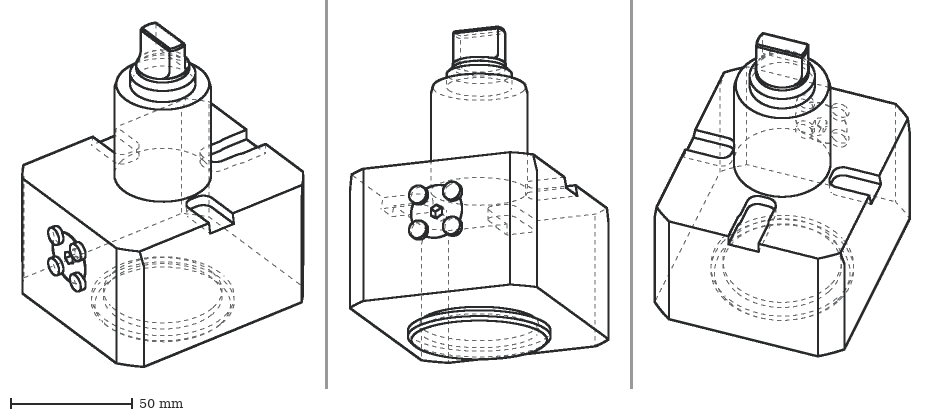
import cadquery as cq
import math

BODY_WIDTH = 83.0
BODY_LENGTH = 96.0
BODY_HEIGHT = 57.0
BODY_CORNER_DIAMETER = 116.0
SIDE_BEVEL_HEIGHT = 7.0
SIDE_BEVEL_ANGLE = 10.0

SHAFT_DIAMETER = 40.0
SHAFT_TOP = 45.0
SHAFT_LEAD_IN_HEIGHT = 3.0
SHAFT_LEAD_IN_ANGLE = 15.0
COLLAR_DIAMETER = 27.0
COLLAR_TOP = 53.0
NECK_DIAMETER = 22.0
NECK_TOP = 54.7

TANG_TOP = 69.0
TANG_DIAMETER = 21.5
TANG_THICKNESS = 8.0
TANG_ROOT_RADIUS = 3.0
TANG_CHAMFER_HEIGHT = 1.0
TANG_CHAMFER_INSET = 0.5

SPIGOT_DIAMETER = 49.0
SPIGOT_HEIGHT = 3.0
FLANGE_DIAMETER = 59.0
FLANGE_HEIGHT = 4.0
FLANGE_CHAMFER = 1.5

KEYWAY_WIDTH = 12.2
KEYWAY_DEPTH = 4.7
KEYWAY_INNER_END = 21.5
KEYWAY_CORNER_RADIUS = 4.5
REAR_MOUTH_WIDTH = 13.2
REAR_TAPER_START = 34.0
REAR_TAPER_END = 36.0

PAD_CENTER_Z = -22.0
PAD_DIAMETER = 22.6
PAD_HEIGHT = 0.3
PIN_DIAMETER = 7.6
PIN_SPACING = 15.0
PIN_HEIGHT = 2.5
SOCKET_ACROSS_FLATS = 5.0
SOCKET_DEPTH = 5.0


def cylinder(diameter, bottom, top):
    return cq.Workplane("XY").workplane(offset=bottom).circle(diameter / 2).extrude(top - bottom)


def make_body():
    """Block with corners rounded about the shaft axis and bevelled upper sides."""
    half_width = BODY_WIDTH / 2
    bevel_inset = SIDE_BEVEL_HEIGHT * math.tan(math.radians(SIDE_BEVEL_ANGLE))
    bevelled_block = (
        cq.Workplane("XZ")
        .moveTo(-half_width, -BODY_HEIGHT)
        .lineTo(half_width, -BODY_HEIGHT)
        .lineTo(half_width, -SIDE_BEVEL_HEIGHT)
        .lineTo(half_width - bevel_inset, 0)
        .lineTo(-half_width + bevel_inset, 0)
        .lineTo(-half_width, -SIDE_BEVEL_HEIGHT)
        .close()
        .extrude(BODY_LENGTH / 2, both=True)
    )
    return bevelled_block.intersect(cylinder(BODY_CORNER_DIAMETER, -BODY_HEIGHT, 0))


def make_shaft():
    """Stepped shaft, revolved about Z, up to the top of the tang."""
    shaft_radius = SHAFT_DIAMETER / 2
    collar_radius = COLLAR_DIAMETER / 2
    neck_radius = NECK_DIAMETER / 2
    tang_radius = TANG_DIAMETER / 2
    lead_in_inset = SHAFT_LEAD_IN_HEIGHT * math.tan(math.radians(SHAFT_LEAD_IN_ANGLE))
    collar_chamfer = collar_radius - neck_radius
    return (
        cq.Workplane("XZ")
        .moveTo(0, 0)
        .lineTo(shaft_radius, 0)
        .lineTo(shaft_radius, SHAFT_TOP - SHAFT_LEAD_IN_HEIGHT)
        .lineTo(shaft_radius - lead_in_inset, SHAFT_TOP)
        .lineTo(collar_radius, SHAFT_TOP)
        .lineTo(collar_radius, COLLAR_TOP - collar_chamfer)
        .lineTo(neck_radius, COLLAR_TOP)
        .lineTo(neck_radius, NECK_TOP)
        .lineTo(tang_radius, NECK_TOP)
        .lineTo(tang_radius, TANG_TOP - TANG_CHAMFER_HEIGHT)
        .lineTo(tang_radius - TANG_CHAMFER_INSET, TANG_TOP)
        .lineTo(0, TANG_TOP)
        .close()
        .revolve(360, (0, 0, 0), (0, 1, 0))
    )


def make_tang_relief():
    """Material removed on the +Y side of the tang, with a rounded root."""
    half_thickness = TANG_THICKNESS / 2
    root_inset = TANG_ROOT_RADIUS * (1 - math.sqrt(0.5))
    return (
        cq.Workplane("YZ")
        .moveTo(NECK_DIAMETER, NECK_TOP)
        .lineTo(half_thickness + TANG_ROOT_RADIUS, NECK_TOP)
        .threePointArc(
            (half_thickness + root_inset, NECK_TOP + root_inset),
            (half_thickness, NECK_TOP + TANG_ROOT_RADIUS),
        )
        .lineTo(half_thickness, TANG_TOP - TANG_CHAMFER_HEIGHT)
        .lineTo(half_thickness - TANG_CHAMFER_INSET, TANG_TOP)
        .lineTo(NECK_DIAMETER, TANG_TOP)
        .close()
        .extrude(NECK_DIAMETER, both=True)
    )


def make_flange():
    """Spigot and chamfered disc below the housing."""
    spigot_bottom = -BODY_HEIGHT - SPIGOT_HEIGHT
    spigot = cylinder(SPIGOT_DIAMETER, spigot_bottom, -BODY_HEIGHT)
    disc = cylinder(FLANGE_DIAMETER, spigot_bottom - FLANGE_HEIGHT, spigot_bottom)
    return spigot.union(disc.faces("<Z").edges().chamfer(FLANGE_CHAMFER))


def make_keyway(outer_end):
    """Keyway cutter along +X, open at outer_end and round-cornered at its inner end."""
    return (
        cq.Workplane("XY")
        .workplane(offset=-KEYWAY_DEPTH)
        .center((KEYWAY_INNER_END + outer_end) / 2, 0)
        .rect(outer_end - KEYWAY_INNER_END, KEYWAY_WIDTH)
        .extrude(KEYWAY_DEPTH)
        .edges("|Z and <X")
        .fillet(KEYWAY_CORNER_RADIUS)
    )


def make_rear_mouth():
    """Wider outer stretch of the rear keyway, tapering into its normal width."""
    outer_end = BODY_LENGTH / 2
    return (
        cq.Workplane("XY")
        .workplane(offset=-KEYWAY_DEPTH)
        .moveTo(-KEYWAY_WIDTH / 2, REAR_TAPER_START)
        .lineTo(KEYWAY_WIDTH / 2, REAR_TAPER_START)
        .lineTo(REAR_MOUTH_WIDTH / 2, REAR_TAPER_END)
        .lineTo(REAR_MOUTH_WIDTH / 2, outer_end)
        .lineTo(-REAR_MOUTH_WIDTH / 2, outer_end)
        .lineTo(-REAR_MOUTH_WIDTH / 2, REAR_TAPER_END)
        .close()
        .extrude(KEYWAY_DEPTH)
    )


def front_plane():
    """Plane on the front face, centred on the pad, with its normal along -Y."""
    return cq.Workplane("XZ", origin=(0, -BODY_LENGTH / 2, PAD_CENTER_Z))


def make_pad():
    """Shallow round pad with four pins."""
    pad = front_plane().circle(PAD_DIAMETER / 2).extrude(PAD_HEIGHT)
    pins = (
        front_plane()
        .rect(PIN_SPACING, PIN_SPACING, forConstruction=True)
        .vertices()
        .circle(PIN_DIAMETER / 2)
        .extrude(PIN_HEIGHT)
    )
    return pad.union(pins)


def make_socket():
    """Blind hexagon socket sunk from the pad face, with two corners on its vertical axis."""
    across_corners = SOCKET_ACROSS_FLATS / math.cos(math.pi / 6)
    return (
        front_plane()
        .workplane(offset=PAD_HEIGHT)
        .transformed(rotate=(0, 0, 90))
        .polygon(6, across_corners)
        .extrude(-SOCKET_DEPTH)
    )


tang_relief = make_tang_relief()
shaft = make_shaft().cut(tang_relief).cut(tang_relief.mirror("XZ"))

body = make_body()
side_keyway = make_keyway(BODY_WIDTH / 2)
rear_keyway = make_keyway(BODY_LENGTH / 2).rotate((0, 0, 0), (0, 0, 1), 90)
for cutter in (side_keyway, side_keyway.mirror("YZ"), rear_keyway, make_rear_mouth()):
    body = body.cut(cutter)

result = body.union(shaft).union(make_flange()).union(make_pad()).cut(make_socket())